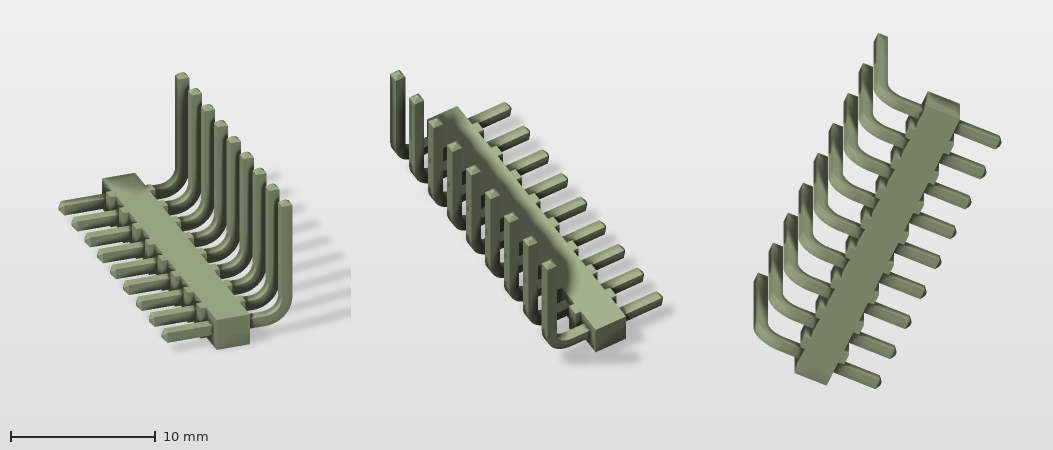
import cadquery as cq

PIN_COUNT = 9
PITCH = 2.54
PIN_WIDTH = 0.76
BEND_INNER_RADIUS = 1.17
TIP_LENGTH = 0.25
TIP_WIDTH = 0.25

BODY_LENGTH = 22.61
BODY_DEPTH = 2.44
BODY_HEIGHT = 2.33
RIB_WIDTH = 0.86
RIB_SPAN = 3.30

OVERALL_DEPTH = 9.45
OVERALL_HEIGHT = 10.08
FRONT_REACH = 4.80

PIN_AXIS_Z = BODY_HEIGHT / 2
UPRIGHT_AXIS_Y = OVERALL_DEPTH - FRONT_REACH - PIN_WIDTH / 2
FRONT_SHANK_END = -FRONT_REACH + TIP_LENGTH
UPRIGHT_SHANK_END = OVERALL_HEIGHT - TIP_LENGTH
BEND_RADIUS = BEND_INNER_RADIUS + PIN_WIDTH / 2


def centred_positions(count):
    """X positions of a row of features at the pin pitch, centred on X = 0."""
    return [(i - (count - 1) / 2) * PITCH for i in range(count)]


def make_body():
    """Long block with a rib, front and back, midway between adjacent pins."""
    body = cq.Workplane("XY").box(BODY_LENGTH, BODY_DEPTH, BODY_HEIGHT, centered=(True, True, False))
    rib = cq.Workplane("XY").box(RIB_WIDTH, RIB_SPAN, BODY_HEIGHT, centered=(True, True, False))
    for x in centred_positions(PIN_COUNT - 1):
        body = body.union(rib.translate((x, 0, 0)))
    return body


def make_tip(origin, direction):
    """Square taper that starts at origin and narrows along direction."""
    base = cq.Plane(origin=origin, xDir=(1, 0, 0), normal=direction)
    return (
        cq.Workplane(base)
        .rect(PIN_WIDTH, PIN_WIDTH)
        .workplane(offset=TIP_LENGTH)
        .rect(TIP_WIDTH, TIP_WIDTH)
        .loft(ruled=True)
    )


def make_pin():
    """Right-angle square pin at X = 0: forward through the body, upward behind it."""
    path = (
        cq.Workplane("YZ")
        .moveTo(FRONT_SHANK_END, PIN_AXIS_Z)
        .lineTo(UPRIGHT_AXIS_Y - BEND_RADIUS, PIN_AXIS_Z)
        .tangentArcPoint((BEND_RADIUS, BEND_RADIUS))
        .lineTo(UPRIGHT_AXIS_Y, UPRIGHT_SHANK_END)
    )
    front_end = (0, FRONT_SHANK_END, PIN_AXIS_Z)
    upper_end = (0, UPRIGHT_AXIS_Y, UPRIGHT_SHANK_END)
    section = cq.Plane(origin=front_end, xDir=(1, 0, 0), normal=(0, 1, 0))
    shank = cq.Workplane(section).rect(PIN_WIDTH, PIN_WIDTH).sweep(path)
    front_tip = make_tip(front_end, (0, -1, 0))
    upper_tip = make_tip(upper_end, (0, 0, 1))
    return shank.union(front_tip).union(upper_tip)


result = make_body()
pin = make_pin()
for pin_x in centred_positions(PIN_COUNT):
    result = result.union(pin.translate((pin_x, 0, 0)))